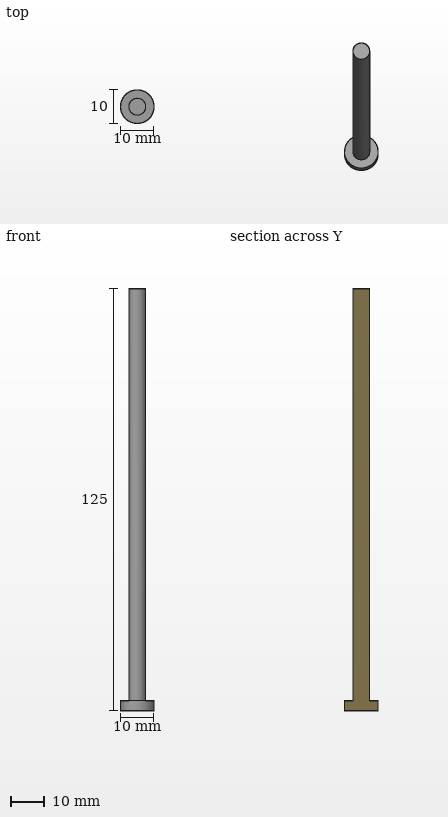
import cadquery as cq

total_length = 125.0
head_diameter = 10.0
head_thickness = 3.0
shaft_diameter = 5.0

head = cq.Workplane("XY").circle(head_diameter / 2).extrude(head_thickness)
shaft = cq.Workplane("XY").circle(shaft_diameter / 2).extrude(total_length)

result = head.union(shaft)